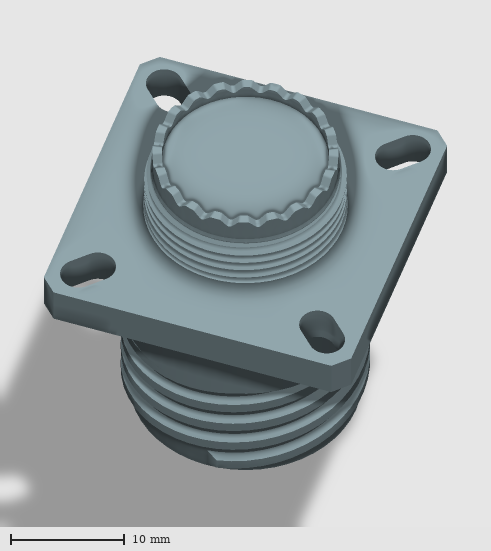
import cadquery as cq
import math

TOTAL_HEIGHT = 31.32
BARREL_TOP = 11.33
FLANGE_BOTTOM = 19.52
FLANGE_THICKNESS = 3.58
FLANGE_TOP = FLANGE_BOTTOM + FLANGE_THICKNESS
RING_HEIGHT = 0.92
RING_TOP = FLANGE_TOP + RING_HEIGHT
NECK_TOP = 28.68
COLLAR_BOTTOM = 29.04
RECESS_FLOOR = 30.0

BARREL_RADIUS = 10.27
BODY_RADIUS = 11.03
BODY_FILLET = 1.4
RING_RADIUS = 9.0
RING_FILLET = 0.85
NECK_ROOT_RADIUS = 8.28
COLLAR_RADIUS = 8.17
RECESS_RADIUS = 7.35

FLANGE_SIDE = 28.55
FLANGE_CHAMFER = 1.38
CORNER_COUNT = 4
CORNER_ANGLE = 45
SLOT_WIDTH = 3.2
SLOT_LENGTH = 5.1
SLOT_OFFSET = 10.87
DOME_RADIUS = 0.6
DOME_HEIGHT = 0.4

TOOTH_COUNT = 20
TOOTH_HEIGHT = 0.7
VALLEY_HALF_WIDTH = 0.83
TOOTH_SHOULDER_RADIUS = 0.33

COUPLING_STARTS = 3
COUPLING_LEAD = 7.68
COUPLING_CREST_RADIUS = 10.96
COUPLING_BASE_WIDTH = 1.72
COUPLING_CREST_WIDTH = 1.0
COUPLING_START_HEIGHT = 1.18
COUPLING_START_ANGLE = -90
COUPLING_LEAD_IN = 1.15

NECK_PITCH = 1.0
NECK_CREST_RADIUS = 8.9
NECK_BASE_WIDTH = 0.88
NECK_CREST_WIDTH = 0.1
NECK_START_HEIGHT = RING_TOP - 0.95
NECK_START_ANGLE = 90
NECK_CHAMFER_TOP = 28.6

FLANK_ANGLE = math.radians(45)
DIAGONAL = math.sqrt(0.5)

THREAD_EMBED = 0.06
OVERCUT = 1.0


def make_turned_body():
    """Revolve the barrel, body, ring, neck and collar as one profile."""
    body_fillet_mid = BODY_FILLET * (1 - DIAGONAL)
    ring_fillet_mid = RING_FILLET * (1 - DIAGONAL)
    profile = (
        cq.Workplane("XZ")
        .moveTo(0, 0)
        .lineTo(BARREL_RADIUS, 0)
        .lineTo(BARREL_RADIUS, BARREL_TOP)
        .lineTo(BODY_RADIUS, BARREL_TOP)
        .lineTo(BODY_RADIUS, FLANGE_BOTTOM - BODY_FILLET)
        .threePointArc(
            (BODY_RADIUS + body_fillet_mid, FLANGE_BOTTOM - body_fillet_mid),
            (BODY_RADIUS + BODY_FILLET, FLANGE_BOTTOM),
        )
        .lineTo(RING_RADIUS + RING_FILLET, FLANGE_TOP)
        .threePointArc(
            (RING_RADIUS + ring_fillet_mid, FLANGE_TOP + ring_fillet_mid),
            (RING_RADIUS, FLANGE_TOP + RING_FILLET),
        )
        .lineTo(RING_RADIUS, RING_TOP)
        .lineTo(NECK_ROOT_RADIUS, RING_TOP)
        .lineTo(NECK_ROOT_RADIUS, NECK_TOP)
        .lineTo(COLLAR_RADIUS, COLLAR_BOTTOM)
        .lineTo(COLLAR_RADIUS, TOTAL_HEIGHT)
        .lineTo(RECESS_RADIUS, TOTAL_HEIGHT)
        .lineTo(RECESS_RADIUS, RECESS_FLOOR)
        .lineTo(0, RECESS_FLOOR)
        .close()
    )
    return profile.revolve(360, (0, 0, 0), (0, 1, 0))


def make_flange():
    """Square plate with chamfered corners and a radial slot in each corner."""
    plate = (
        cq.Workplane("XY")
        .workplane(offset=FLANGE_BOTTOM)
        .rect(FLANGE_SIDE, FLANGE_SIDE)
        .extrude(FLANGE_THICKNESS)
        .edges("|Z")
        .chamfer(FLANGE_CHAMFER)
    )
    slot_distance = SLOT_OFFSET * math.sqrt(2)
    slots = (
        cq.Workplane("XY")
        .workplane(offset=FLANGE_BOTTOM)
        .polarArray(slot_distance, CORNER_ANGLE, 360, CORNER_COUNT)
        .slot2D(SLOT_LENGTH, SLOT_WIDTH)
        .extrude(FLANGE_THICKNESS)
    )
    return plate.cut(slots)


def make_corner_dome():
    """Small index dome on the chamfered face of the +X +Y flange corner."""
    face_distance = (FLANGE_SIDE - FLANGE_CHAMFER) / math.sqrt(2)
    tip_distance = face_distance + DOME_HEIGHT
    mid_distance = tip_distance - DOME_RADIUS * (1 - DIAGONAL)
    rim_distance = tip_distance - DOME_RADIUS
    dome = (
        cq.Workplane("XY")
        .moveTo(rim_distance, 0)
        .lineTo(tip_distance, 0)
        .threePointArc((mid_distance, DOME_RADIUS * DIAGONAL), (rim_distance, DOME_RADIUS))
        .close()
        .revolve(360, (0, 0, 0), (1, 0, 0))
    )
    flange_middle = FLANGE_BOTTOM + FLANGE_THICKNESS / 2
    return dome.rotate((0, 0, 0), (0, 0, 1), CORNER_ANGLE).translate((0, 0, flange_middle))


def make_crown_valley():
    """Radial cutter along +X: 45 degree flanks, a round floor and round shoulders."""
    half_flank_angle = FLANK_ANGLE / 2
    floor_radius = (VALLEY_HALF_WIDTH - TOOTH_HEIGHT) / (math.sqrt(2) - 1)
    floor_height = TOTAL_HEIGHT - TOOTH_HEIGHT
    floor_end = (floor_radius * DIAGONAL, floor_height + floor_radius * (1 - DIAGONAL))
    tangent_length = TOOTH_SHOULDER_RADIUS * math.tan(half_flank_angle)
    shoulder_x = VALLEY_HALF_WIDTH + tangent_length
    shoulder_start = (
        VALLEY_HALF_WIDTH - tangent_length * DIAGONAL,
        TOTAL_HEIGHT - tangent_length * DIAGONAL,
    )
    shoulder_mid = (
        shoulder_x - TOOTH_SHOULDER_RADIUS * math.sin(half_flank_angle),
        TOTAL_HEIGHT - TOOTH_SHOULDER_RADIUS * (1 - math.cos(half_flank_angle)),
    )

    def mirrored(point):
        return (-point[0], point[1])

    return (
        cq.Workplane("YZ")
        .workplane(offset=RECESS_RADIUS - OVERCUT)
        .moveTo(*mirrored(floor_end))
        .threePointArc((0, floor_height), floor_end)
        .lineTo(*shoulder_start)
        .threePointArc(shoulder_mid, (shoulder_x, TOTAL_HEIGHT))
        .lineTo(-shoulder_x, TOTAL_HEIGHT)
        .threePointArc(mirrored(shoulder_mid), mirrored(shoulder_start))
        .close()
        .extrude(COLLAR_RADIUS - RECESS_RADIUS + 2 * OVERCUT)
    )


def cut_crown(body):
    """Cut evenly spaced valleys that leave a ring of teeth on the rim."""
    valley = make_crown_valley()
    tooth_angle = 360 / TOOTH_COUNT
    for index in range(TOOTH_COUNT):
        angle = (index + 0.5) * tooth_angle
        body = body.cut(valley.rotate((0, 0, 0), (0, 0, 1), angle))
    return body


def make_thread_rib(lead, length, root_radius, crest_radius, base_width, crest_width):
    """Right-handed helical rib on the +X axis at Z = 0, its flanks run on below the root."""
    helix = cq.Workplane(obj=cq.Wire.makeHelix(lead, length, root_radius))
    flank_slope = (base_width - crest_width) / (crest_radius - root_radius)
    foot_radius = root_radius - THREAD_EMBED
    foot_half = (base_width + flank_slope * THREAD_EMBED) / 2
    crest_half = crest_width / 2
    section = (
        cq.Workplane("XZ")
        .polyline([
            (foot_radius, -foot_half),
            (crest_radius, -crest_half),
            (crest_radius, crest_half),
            (foot_radius, foot_half),
        ])
        .close()
    )
    return section.sweep(helix, isFrenet=True)


def make_coupling_rib():
    """One start of the coupling thread, its lower end sloped down to the root."""
    rise = BARREL_TOP + COUPLING_BASE_WIDTH / 2 - COUPLING_START_HEIGHT
    rib = make_thread_rib(
        COUPLING_LEAD,
        rise,
        BARREL_RADIUS,
        COUPLING_CREST_RADIUS,
        COUPLING_BASE_WIDTH,
        COUPLING_CREST_WIDTH,
    )
    end_slope = COUPLING_LEAD_IN / (COUPLING_CREST_RADIUS - BARREL_RADIUS)
    inner_radius = BARREL_RADIUS - OVERCUT
    outer_radius = COUPLING_CREST_RADIUS + OVERCUT
    inner_offset = -OVERCUT * end_slope
    outer_offset = COUPLING_LEAD_IN + OVERCUT * end_slope
    lead_in_wedge = (
        cq.Workplane("XY")
        .workplane(offset=-COUPLING_BASE_WIDTH)
        .polyline([
            (inner_radius, inner_offset),
            (outer_radius, outer_offset),
            (outer_radius, inner_offset),
        ])
        .close()
        .extrude(2 * COUPLING_BASE_WIDTH)
    )
    return rib.cut(lead_in_wedge).translate((0, 0, COUPLING_START_HEIGHT))


def add_coupling_thread(body):
    rib = make_coupling_rib()
    for index in range(COUPLING_STARTS):
        angle = COUPLING_START_ANGLE + index * 360 / COUPLING_STARTS
        body = body.union(rib.rotate((0, 0, 0), (0, 0, 1), angle))
    return body


def make_neck_thread():
    """Fine V thread whose upper end is trimmed by a 45 degree chamfer cone."""
    thread_depth = NECK_CREST_RADIUS - NECK_ROOT_RADIUS
    rib = make_thread_rib(
        NECK_PITCH,
        NECK_CHAMFER_TOP + NECK_BASE_WIDTH / 2 - NECK_START_HEIGHT,
        NECK_ROOT_RADIUS,
        NECK_CREST_RADIUS,
        NECK_BASE_WIDTH,
        NECK_CREST_WIDTH,
    )
    rib = rib.rotate((0, 0, 0), (0, 0, 1), NECK_START_ANGLE)
    rib = rib.translate((0, 0, NECK_START_HEIGHT))
    envelope = (
        cq.Workplane("XZ")
        .moveTo(0, FLANGE_BOTTOM)
        .lineTo(NECK_CREST_RADIUS + OVERCUT, FLANGE_BOTTOM)
        .lineTo(NECK_CREST_RADIUS + OVERCUT, NECK_CHAMFER_TOP - thread_depth - OVERCUT)
        .lineTo(NECK_ROOT_RADIUS, NECK_CHAMFER_TOP)
        .lineTo(0, NECK_CHAMFER_TOP)
        .close()
        .revolve(360, (0, 0, 0), (0, 1, 0))
    )
    return rib.intersect(envelope)


result = make_turned_body().union(make_flange()).union(make_corner_dome())
result = cut_crown(result)
result = add_coupling_thread(result)
result = result.union(make_neck_thread())